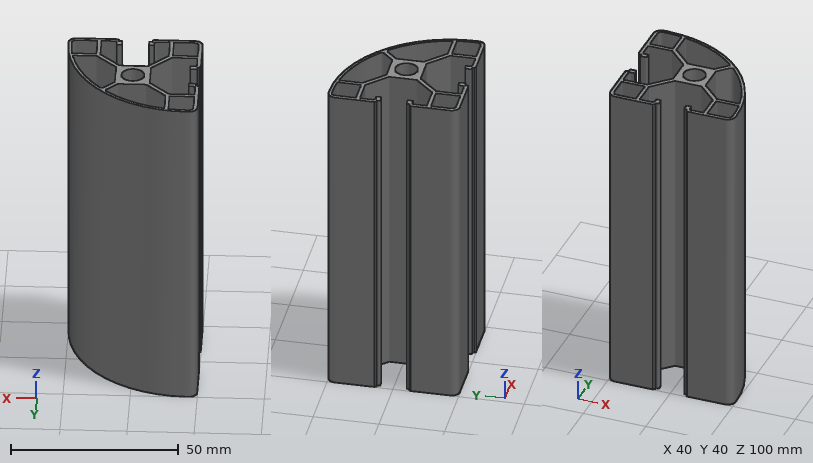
import cadquery as cq
import math

side = 40.0
length = 100.0
corner_radius = 2.5
wall = 1.2
curved_wall = 1.0
arc_centre = 3.2
cell_side = 8.6
rib_thickness = 1.2
web_thickness = 1.4
hub_side = 10.4
bore_diameter = 6.8
joint_fillet = 0.8
corner_fillet = 0.3

slot_width = 8.0
mouth_width = 10.0
mouth_chamfer = 0.5
lip_step = 1.0
lip_depth = 3.1
lip_thickness = 1.6
lip_fillet = 0.4
lip_root_fillet = 0.8

middle = side / 2
rib_outer = cell_side + rib_thickness
diagonal = math.sqrt(0.5)


def quarter_round(low, high, fillet):
    """Quarter-round bar with two flat sides at low, reaching high in X and Y."""
    arc_middle = arc_centre + (high - arc_centre) * diagonal
    return (
        cq.Workplane("XY")
        .moveTo(low, low)
        .lineTo(high, low)
        .lineTo(high, arc_centre)
        .threePointArc((arc_middle, arc_middle), (arc_centre, high))
        .lineTo(low, high)
        .close()
        .extrude(length)
        .edges(vertical_edges_near([(low, low), (high, low), (low, high)]))
        .fillet(fillet)
    )


def vertical_edges_near(points):
    """Selector for the full-length edges that pass through the given points."""
    reach = 0.1
    selector = None
    for x, y in points:
        low = (x - reach, y - reach, reach)
        high = (x + reach, y + reach, length - reach)
        box = cq.selectors.BoxSelector(low, high)
        selector = box if selector is None else selector + box
    return selector


def web_corners(quadrants, reach, shifted):
    """Points where both flanks of a diagonal web meet axis-parallel faces at reach from the middle."""
    points = []
    for x_sign, y_sign in quadrants:
        points.append((middle + x_sign * reach, middle + y_sign * shifted))
        points.append((middle + x_sign * shifted, middle + y_sign * reach))
    return points


def block(x_min, y_min, x_max, y_max):
    """Full-length bar over the given rectangle."""
    return (
        cq.Workplane("XY")
        .rect(x_max - x_min, y_max - y_min)
        .extrude(length)
        .translate(((x_min + x_max) / 2, (y_min + y_max) / 2, 0))
    )


def swap_xy(body):
    """Mirror image of a full-length body across the x = y diagonal."""
    return body.rotate((0, 0, 0), (1, 1, 0), 180).translate((0, 0, length))


def diagonal_web(angle, reach):
    """Bar running outward from the section centre at the given angle."""
    return (
        cq.Workplane("XY")
        .rect(reach, web_thickness)
        .extrude(length)
        .translate((reach / 2, 0, 0))
        .rotate((0, 0, 0), (0, 0, 1), angle)
        .translate((middle, middle, 0))
    )


def slot_lips():
    """Pair of rounded lips along the slot in the X = 0 face."""
    edge = middle - slot_width / 2
    lip = block(lip_step, edge - lip_thickness, lip_depth, edge)
    lip = lip.edges("|Z and >Y").fillet(lip_fillet)
    return lip.union(lip.mirror("XZ", (0, middle, 0)))


outer = quarter_round(0, side, corner_radius)
cavity = quarter_round(wall, side - curved_wall, corner_radius - wall)
section = outer.cut(cavity)

far_inner = side - cell_side
far_outer = side - rib_outer
low_rib = block(0, cell_side, rib_outer, rib_outer)
high_rib = block(0, far_outer, rib_outer, far_inner)
tall_rib = block(cell_side, far_outer, rib_outer, side)
ribs = low_rib.union(high_rib).union(tall_rib)
ribs = ribs.union(swap_xy(ribs))

hub_half = hub_side / 2
hub_min = middle - hub_half
hub_max = middle + hub_half
core = block(hub_min, hub_min, hub_max, hub_max).union(diagonal_web(45, middle))
node_reach = (middle - (cell_side + rib_outer) / 2) / diagonal
for web_angle in (135, 225, 315):
    core = core.union(diagonal_web(web_angle, node_reach))

section = section.union(ribs.union(core).intersect(outer))

half_web = web_thickness / 2
inner_arc_radius = side - curved_wall - arc_centre
joint_along = math.sqrt(inner_arc_radius**2 - half_web**2)
joint_near = arc_centre + (joint_along - half_web) * diagonal
joint_far = arc_centre + (joint_along + half_web) * diagonal
joints = vertical_edges_near([(joint_near, joint_far), (joint_far, joint_near)])
section = section.edges(joints).fillet(joint_fillet)

web_offset = half_web / diagonal
small_corners = [(cell_side, cell_side), (cell_side, far_inner), (far_inner, cell_side)]
for face in (cell_side, rib_outer, far_outer, far_inner):
    small_corners += [(wall, face), (face, wall)]
for face in (cell_side, rib_outer):
    top = arc_centre + math.sqrt(inner_arc_radius**2 - (face - arc_centre) ** 2)
    small_corners += [(face, top), (top, face)]
rib_half = middle - rib_outer
quadrants = ((-1, -1), (-1, 1), (1, -1), (1, 1))
small_corners += web_corners(quadrants, hub_half, hub_half - web_offset)
small_corners += web_corners(quadrants[:3], rib_half, rib_half + web_offset)
section = section.edges(vertical_edges_near(small_corners)).fillet(corner_fillet)

mouth_edges = (middle - mouth_width / 2, middle + mouth_width / 2)
mouth = block(0, mouth_edges[0], wall, mouth_edges[1])
section = section.cut(mouth).cut(swap_xy(mouth))
mouth_corners = []
for edge in mouth_edges:
    mouth_corners += [(0, edge), (edge, 0)]
section = section.edges(vertical_edges_near(mouth_corners)).chamfer(mouth_chamfer)
section = section.union(slot_lips()).union(swap_xy(slot_lips()))
lip_offset = slot_width / 2 + lip_thickness
lip_roots = []
for root in (middle - lip_offset, middle + lip_offset):
    lip_roots += [(wall, root), (root, wall)]
section = section.edges(vertical_edges_near(lip_roots)).fillet(lip_root_fillet)

bore = cq.Workplane("XY").center(middle, middle).circle(bore_diameter / 2).extrude(length)
result = section.cut(bore)